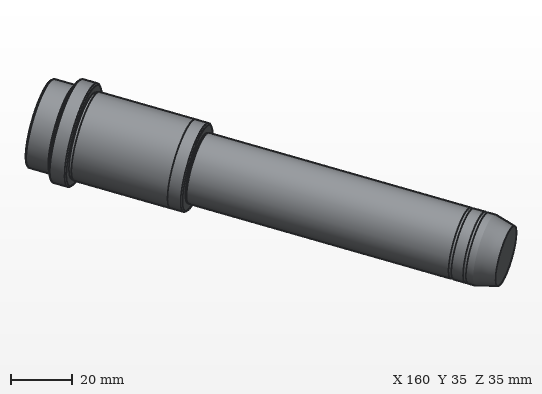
import cadquery as cq
import math

total_length = 160.0
flange_start = 9.0
flange_end = 15.0
body_lead_start = 49.0
body_end = 54.0
tip_start = 153.0
groove_centers = (145.0, 150.0)

tip_angle = 15.0

body_radius = 30.0 / 2
flange_radius = 35.0 / 2
shaft_radius = 24.0 / 2
tip_radius = shaft_radius - (total_length - tip_start) * math.tan(math.radians(tip_angle))

edge_chamfer = 0.5
undercut_length = 1.0
undercut_depth = 0.4
lead_relief = 0.02
root_relief_length = 0.5
root_relief_depth = 0.2
groove_width = 1.0
groove_depth = 0.25


def build_body():
    """Revolve the stepped outline of the whole pin about the X axis."""
    undercut_radius = body_radius - undercut_depth
    lead_radius = body_radius - lead_relief
    outline = (
        cq.Workplane("XZ")
        .moveTo(0, 0)
        .lineTo(0, body_radius - edge_chamfer)
        .lineTo(edge_chamfer, body_radius)
        .lineTo(flange_start - undercut_length, body_radius)
        .lineTo(flange_start, undercut_radius)
        .lineTo(flange_start, flange_radius - edge_chamfer)
        .lineTo(flange_start + edge_chamfer, flange_radius)
        .lineTo(flange_end - edge_chamfer, flange_radius)
        .lineTo(flange_end, flange_radius - edge_chamfer)
        .lineTo(flange_end, undercut_radius)
        .lineTo(flange_end + undercut_length, body_radius)
        .lineTo(body_lead_start, body_radius)
        .lineTo(body_lead_start, lead_radius)
        .lineTo(body_end - edge_chamfer, lead_radius)
        .lineTo(body_end, lead_radius - edge_chamfer)
        .lineTo(body_end, shaft_radius - root_relief_depth)
        .lineTo(body_end + root_relief_length, shaft_radius)
        .lineTo(tip_start, shaft_radius)
        .lineTo(total_length, tip_radius)
        .lineTo(total_length, 0)
        .close()
    )
    return outline.revolve(360, (0, 0), (1, 0))


def groove_cutter(center):
    """Ring with a shallow round-bottomed section, open outward."""
    start = center - groove_width / 2
    end = center + groove_width / 2
    clear_radius = flange_radius
    return (
        cq.Workplane("XZ")
        .moveTo(start, shaft_radius)
        .threePointArc((center, shaft_radius - groove_depth), (end, shaft_radius))
        .lineTo(end, clear_radius)
        .lineTo(start, clear_radius)
        .close()
        .revolve(360, (0, 0), (1, 0))
    )


result = build_body()
for groove_center in groove_centers:
    result = result.cut(groove_cutter(groove_center))